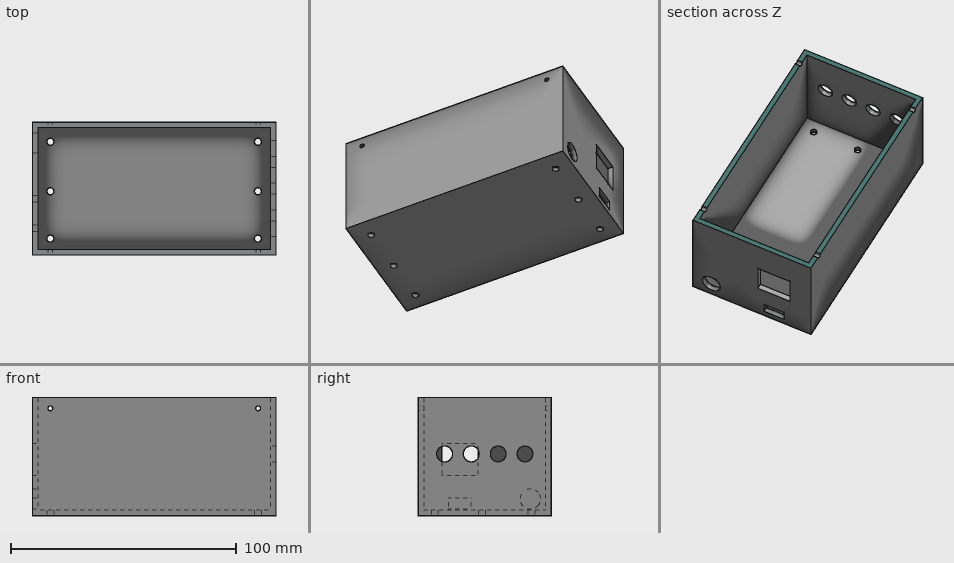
import cadquery as cq

length = 108.0
width = 59.0
height = 52.5
wall = 2.5
floor_thickness = 2.5

lid_hole_diameter = 2.0
lid_hole_x = 46.0
lid_hole_z = 47.6

floor_hole_diameter = 3.0
floor_hole_x_positions = (-46.0, 45.9)
floor_hole_y_positions = (-22.1, -1.2, 20.7)

window_width = 16.0
window_height = 14.3
window_center = (-11.0, 25.0)
slot_width = 10.0
slot_height = 5.0
slot_center = (-11.0, 5.5)
cable_hole_diameter = 9.0
cable_hole_center = (20.2, 7.5)

jack_hole_diameter = 7.0
jack_hole_count = 4
jack_hole_spacing = 11.9
jack_hole_z = 27.4


def box_shell():
    """Box centred in X and Y, resting on Z = 0 and open at the top."""
    outside = cq.Workplane("XY").box(length, width, height, centered=(True, True, False))
    cavity = (
        cq.Workplane("XY", origin=(0, 0, floor_thickness))
        .box(length - 2 * wall, width - 2 * wall, height, centered=(True, True, False))
    )
    return outside.cut(cavity)


def end_wall_plane(x):
    """Plane facing +X, with local axes along Y and Z."""
    return cq.Workplane("YZ", origin=(x, 0, 0))


def left_wall_openings():
    plane = end_wall_plane(-length / 2)
    window = plane.center(*window_center).rect(window_width, window_height).extrude(wall)
    slot = plane.center(*slot_center).rect(slot_width, slot_height).extrude(wall)
    cable_hole = plane.center(*cable_hole_center).circle(cable_hole_diameter / 2).extrude(wall)
    return window.union(slot).union(cable_hole)


def right_wall_holes():
    first_y = -jack_hole_spacing * (jack_hole_count - 1) / 2
    centers = [(first_y + i * jack_hole_spacing, jack_hole_z) for i in range(jack_hole_count)]
    return (
        end_wall_plane(length / 2 - wall)
        .pushPoints(centers)
        .circle(jack_hole_diameter / 2)
        .extrude(wall)
    )


def lid_screw_holes():
    """Each hole runs through both long walls."""
    centers = [(x, lid_hole_z) for x in (-lid_hole_x, lid_hole_x)]
    return (
        cq.Workplane("XZ")
        .pushPoints(centers)
        .circle(lid_hole_diameter / 2)
        .extrude(width / 2, both=True)
    )


def floor_holes():
    centers = [(x, y) for x in floor_hole_x_positions for y in floor_hole_y_positions]
    return (
        cq.Workplane("XY")
        .pushPoints(centers)
        .circle(floor_hole_diameter / 2)
        .extrude(floor_thickness)
    )


result = (
    box_shell()
    .cut(left_wall_openings())
    .cut(right_wall_holes())
    .cut(lid_screw_holes())
    .cut(floor_holes())
)